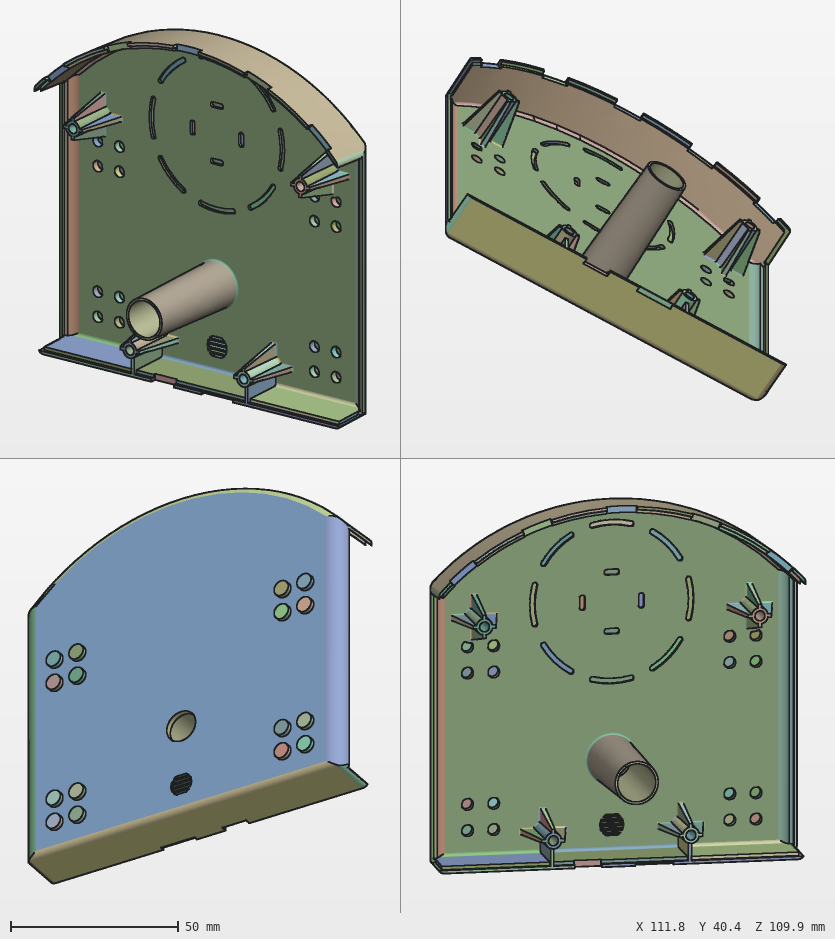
import cadquery as cq
import math


width = 111.8
height = 109.93
arc_radius = 76.0
draft = math.tan(math.radians(2.0))
wall = 2.0
floor = 2.0
side_round = 5.0
edge_round = 2.0
inner_edge_round = 1.0
corner_round = 2.0
side_depth = 5.0
top_depth = 17.8
bottom_depth = 15.9
half_width = width / 2
arc_center_z = height - arc_radius

lip_width = 0.95
lip_height = 1.1
end_ledge = 1.45
notch_depth = 1.85
top_notch_angles = [-40, -20, 0, 20, 40]
top_notch_width = 7.0
bottom_notch = (-14.1, -5.8)
pry_slot = (4.3, 16.0)
pry_slot_height = 0.75
pry_slot_depth = 1.6

spindle_z = 30.0
spindle_depth = 38.9
spindle_tip_radius = 6.55
spindle_base_radius = 7.5
spindle_bore = 11.6
spindle_floor_hole = 10.1
spindle_base_fillet = 0.6

foot_xs = [-44, -36, 36, 44]
foot_zs = [10, 18, 58, 66]
foot_diameter = 5.0
foot_height = 1.5
foot_hole = 3.5
foot_hole_end = 1.0

dial_z = 78.0
groove_depth = 1.0
ring_radius = 24.2
ring_width = 1.6
ring_half_angle = 14.2
ring_count = 8
key_radius = 9.0
key_length = 4.6
key_width = 1.7
key_count = 4

vent_z = 10.0
vent_diameter = 7.2
vent_slot = 0.8
vent_pitch = 1.4
vent_count = 5

upper_posts = [(-42, 75), (42, 75)]
lower_posts = [(-21, 9), (21, 9)]
post_depth = 17.4
hub_base_radius = 2.7
hub_tip_radius = 2.5
screw_tip_radius = 1.5
screw_end_radius = 0.8
screw_depth = 12.0
rib_base_reach = 6.9
rib_tip_reach = 3.5
rib_base_width = 1.6
rib_tip_width = 1.0
post_base_fillet = 0.5
post_plate_radius = 8.0
web_overlap = 0.6

over = 1.0
full_x = (-half_width - over, half_width + over)
full_z = (-over, height + over)


def front_plane(depth, x=0, z=0):
    """Plane parallel to the floor, facing the front, at the given depth."""
    return cq.Workplane("XZ", origin=(x, -depth, z))


def block(x_range, depth_range, z_range):
    size = [end - start for start, end in (x_range, depth_range, z_range)]
    corner = (x_range[0], -depth_range[1], z_range[0])
    return cq.Workplane("XY").box(*size, centered=False).translate(corner)


def frustum(start_radius, end_radius, start, end, x, z):
    profile = [(0, -start), (start_radius, -start), (end_radius, -end), (0, -end)]
    cone = cq.Workplane("XY").polyline(profile).close().revolve(360, (0, 0, 0), (0, 1, 0))
    return cone.translate((x, 0, z))


def arch_body(inset, back, rounding):
    """Drafted disc that bounds the part at the top."""
    front = top_depth + (over if inset else 0)
    back_radius = arc_radius - inset - (top_depth - notch_depth - back) * draft
    front_radius = back_radius + (front - back) * draft
    disc = frustum(back_radius, front_radius, back, front, 0, arc_center_z)
    return disc.faces(">Y").edges().fillet(rounding) if rounding else disc


def bottom_body(inset, back, rounding):
    """Drafted slab that bounds the part at the bottom."""
    front = top_depth + over
    back_z = inset + (bottom_depth - back) * draft
    front_z = inset + (bottom_depth - front) * draft
    profile = [(-back, back_z), (-front, front_z), (-front, height + over), (-back, height + over)]
    slab = cq.Workplane("YZ").polyline(profile).close().extrude(half_width + over, both=True)
    return slab.faces(">Y").edges("<Z").fillet(rounding) if rounding else slab


def side_body(inset, back, rounding):
    """Slab with rounded back edges that bounds the part at both sides."""
    reach = half_width - inset
    slab = block((-reach, reach), (back, top_depth + over), (-over, height + over))
    return slab.edges("|Z and >Y").fillet(rounding)


def inside_bounds(inset, back, rounding=0):
    return arch_body(inset, back, rounding).intersect(bottom_body(inset, back, rounding))


def make_shell():
    side_xs = (-half_width, half_width)
    sharp = inside_bounds(0, 0).intersect(block(side_xs, (0, top_depth), full_z))
    corners = sharp.faces("<X or >X").edges("not |Z").fillet(corner_round)
    past_bottom_rim = block(full_x, (bottom_depth, top_depth + over), (-over, height / 2))
    outer = inside_bounds(0, 0, edge_round).intersect(side_body(0, 0, side_round))
    outer = outer.intersect(corners).cut(past_bottom_rim)
    cavity = inside_bounds(wall, floor, inner_edge_round)
    open_sides = block(full_x, (side_depth, top_depth + over), full_z)
    opening = side_body(wall, floor, side_round - wall).union(open_sides)
    return outer.cut(cavity.intersect(opening))


def rim_step():
    """Material taken from the inner half of the rim so that the outer lip remains."""
    lip_x = half_width - lip_width
    ledge_x = half_width - end_ledge
    front = top_depth + over
    side_step = block((-lip_x, lip_x), (side_depth - lip_height, front), full_z)
    step = inside_bounds(wall, floor).intersect(side_step)

    forward_of_ledges = [
        block(full_x, (top_depth - lip_height, front), (height / 2, height)),
        block(full_x, (bottom_depth - lip_height, front), (-over, height / 2)),
        block((-half_width - over, -ledge_x), (side_depth, front), full_z),
        block((ledge_x, half_width + over), (side_depth, front), full_z),
    ]
    inside_lip = inside_bounds(lip_width, floor)
    for region in forward_of_ledges:
        step = step.union(inside_lip.intersect(region))
    return step


def rim_notches():
    """Gaps through the rim: one in the bottom wall, the rest spread along the arch."""
    notches = block(bottom_notch, (bottom_depth - notch_depth, bottom_depth + over), (-over, wall + over))
    reach = arc_radius + over
    half_chord = reach * math.tan(math.radians(top_notch_width / 2))
    wedge = front_plane(top_depth - notch_depth)
    wedge = wedge.polyline([(0, 0), (half_chord, reach), (-half_chord, reach)]).close()
    wedge = wedge.extrude(notch_depth + over)
    for angle in top_notch_angles:
        turned = wedge.rotate((0, 0, 0), (0, 1, 0), angle)
        notches = notches.union(turned.translate((0, 0, arc_center_z)))
    return notches


def pry_ramp():
    """Sloped recess on the outside of the bottom lip."""
    profile = [
        (-bottom_depth, pry_slot_height),
        (-bottom_depth + pry_slot_depth, 0),
        (-bottom_depth + pry_slot_depth, -over),
        (-bottom_depth, -over),
    ]
    start, end = pry_slot
    ramp = cq.Workplane("YZ", origin=(start, 0, 0)).polyline(profile).close()
    return ramp.extrude(end - start)


def add_spindle(part):
    part = part.union(
        frustum(spindle_base_radius, spindle_tip_radius, floor, spindle_depth, 0, spindle_z)
    )
    base_edge = cq.selectors.BoxSelector(
        (-spindle_base_radius - over, -floor - 0.1, spindle_z - spindle_base_radius - over),
        (spindle_base_radius + over, -floor + 0.1, spindle_z + spindle_base_radius + over),
        boundingbox=True,
    )
    part = part.edges(base_edge).fillet(spindle_base_fillet)
    bore = front_plane(floor, 0, spindle_z).circle(spindle_bore / 2).extrude(spindle_depth)
    floor_hole = front_plane(0, 0, spindle_z).circle(spindle_floor_hole / 2).extrude(floor)
    return part.cut(bore).cut(floor_hole)


def add_feet(part):
    places = [(x, z) for x in foot_xs for z in foot_zs]
    feet = front_plane(-foot_height).pushPoints(places).circle(foot_diameter / 2).extrude(foot_height)
    hole_depth = floor + foot_height - foot_hole_end
    holes = front_plane(floor - hole_depth).pushPoints(places).circle(foot_hole / 2).extrude(hole_depth)
    return part.union(feet).cut(holes)


def ring_point(radius, angle):
    return (radius * math.cos(math.radians(angle)), radius * math.sin(math.radians(angle)))


def ring_groove():
    """Curved groove with round ends, centred on the +X side of the dial."""
    inner = ring_radius - ring_width / 2
    outer = ring_radius + ring_width / 2
    end = ring_half_angle
    cap = ring_half_angle + math.degrees(ring_width / 2 / ring_radius)
    outline = (
        front_plane(floor)
        .moveTo(*ring_point(outer, -end))
        .threePointArc((outer, 0), ring_point(outer, end))
        .threePointArc(ring_point(ring_radius, cap), ring_point(inner, end))
        .threePointArc((inner, 0), ring_point(inner, -end))
        .threePointArc(ring_point(ring_radius, -cap), ring_point(outer, -end))
        .close()
    )
    return outline.extrude(-groove_depth)


def cut_dial(part):
    ring = ring_groove()
    key = front_plane(floor, key_radius).slot2D(key_length, key_width, 90).extrude(-groove_depth)
    for shape, count in [(ring, ring_count), (key, key_count)]:
        for index in range(count):
            turned = shape.rotate((0, 0, 0), (0, 1, 0), index * 360 / count)
            part = part.cut(turned.translate((0, 0, dial_z)))
    return part


def cut_vent(part):
    disc = front_plane(0, 0, vent_z).circle(vent_diameter / 2).extrude(floor)
    slots = front_plane(0, 0, vent_z).rarray(1, vent_pitch, 1, vent_count)
    slots = slots.rect(vent_diameter, vent_slot).extrude(floor)
    return part.cut(disc.intersect(slots))


def rib(angle):
    """Rib of a post standing on the Y axis, shrinking towards the tip."""
    rib_height = post_depth - floor
    shape = (
        front_plane(floor, rib_base_reach / 2)
        .rect(rib_base_reach, rib_base_width)
        .workplane(offset=rib_height)
        .center((rib_tip_reach - rib_base_reach) / 2, 0)
        .rect(rib_tip_reach, rib_tip_width)
        .loft(ruled=True)
    )
    return shape.rotate((0, 0, 0), (0, 1, 0), angle)


def make_post(rib_angles):
    """Hub with ribs on a plate that lies within the floor, filleted at the base."""
    plate = front_plane(floor / 2).circle(post_plate_radius).extrude(floor / 2)
    post = plate.union(frustum(hub_base_radius, hub_tip_radius, floor, post_depth, 0, 0))
    for angle in rib_angles:
        post = post.union(rib(angle))
    reach = rib_base_reach + over / 2
    base = cq.selectors.BoxSelector(
        (-reach, -floor - 0.1, -reach), (reach, -floor + 0.1, reach), boundingbox=True
    )
    post = post.edges(base).fillet(post_base_fillet)
    end = post_depth - screw_depth
    return post.cut(frustum(screw_end_radius, screw_tip_radius, end, post_depth, 0, 0))


def wall_web(z):
    """Web from a hub at height z down to the inner side of the bottom lip."""
    half_base = rib_base_width / 2
    half_front = rib_tip_width / 2
    profile = [
        (-half_base, -floor),
        (half_base, -floor),
        (half_front, -bottom_depth),
        (-half_front, -bottom_depth),
    ]
    web = cq.Workplane("XY").polyline(profile).close().extrude(z - hub_tip_radius + web_overlap)
    return web.intersect(bottom_body(lip_width, 0, 0))


def add_posts(part):
    full_post = make_post([0, 90, 180, 270])
    for x, z in upper_posts:
        part = part.union(full_post.translate((x, 0, z)))
    webbed_post = make_post([0, 180, 270])
    for x, z in lower_posts:
        part = part.union(webbed_post.translate((x, 0, z)))
        part = part.union(wall_web(z).translate((x, 0, 0)))
    return part


result = make_shell().cut(rim_step()).cut(rim_notches()).cut(pry_ramp())
result = add_spindle(result)
result = add_feet(result)
result = cut_dial(result)
result = cut_vent(result)
result = add_posts(result)